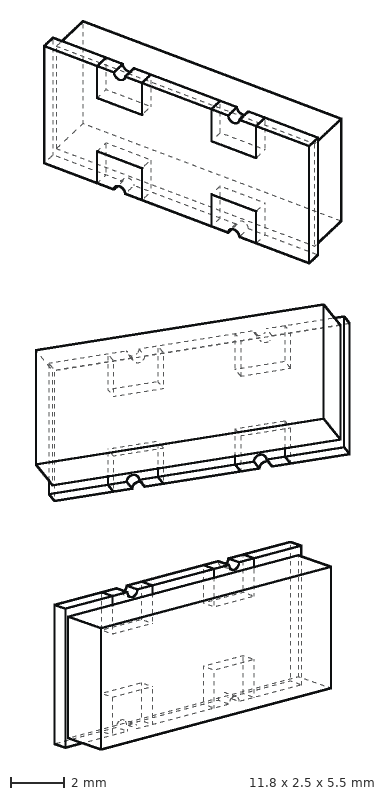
import cadquery as cq

board_length = 11.8
board_height = 5.5
board_thickness = 0.63
total_depth = 2.5
cover_length = 11.5
cover_height = 4.8
pad_width = 2.0
pad_height = 1.5
pad_pitch = 5.09
notch_radius = 0.25

cover_depth = total_depth - board_thickness
pad_offset_z = (board_height - pad_height) / 2


def y_block(length, depth, height, x=0, y=0, z=0):
    """Block centred on x and z, running from y towards +Y."""
    return (
        cq.Workplane("XY")
        .box(length, depth, height, centered=(True, False, True))
        .translate((x, y, z))
    )


def make_pad(x, side):
    """Contact through the board at its upper (side=1) or lower (side=-1) edge, with a half-round notch."""
    block = y_block(pad_width, board_thickness, pad_height, x=x, z=side * pad_offset_z)
    notch = (
        cq.Workplane("XZ")
        .center(x, side * board_height / 2)
        .circle(notch_radius)
        .extrude(-board_thickness)
    )
    return block.cut(notch)


def make_housing(pad_places):
    """Board with a smaller cover behind it, and a recess for each contact pad."""
    board = y_block(board_length, board_thickness, board_height)
    for x, side in pad_places:
        board = board.cut(
            y_block(pad_width, board_thickness, pad_height, x=x, z=side * pad_offset_z)
        )
    cover = y_block(cover_length, cover_depth, cover_height, y=board_thickness)
    return board.union(cover)


pad_places = [(x, side) for x in (-pad_pitch / 2, pad_pitch / 2) for side in (-1, 1)]
housing = make_housing(pad_places)
pads = [make_pad(x, side) for x, side in pad_places]

result = cq.Compound.makeCompound([housing.val(), *[pad.val() for pad in pads]])